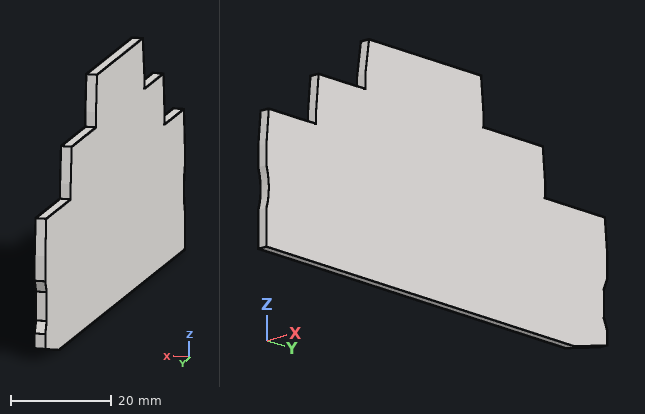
import cadquery as cq

thickness = 2.2
length = 102.2
height = 50.3
half_length = length / 2

step_height = 10.6
upper_shelf_z = height - step_height
lower_shelf_z = upper_shelf_z - step_height

upper_tier_back = 14.0
upper_tier_front = 21.5
middle_tier_back = 32.5
middle_tier_front = 36.2

taper_height = 7.6
taper_inset = 0.7
upper_front_taper_inset = 1.1

arch_bottom_z = 8.1
arch_top_z = 17.0
arch_depth = 0.7

notch_bottom_z = 5.5
notch_top_z = 16.4
notch_depth = 1.0
notch_ramp_height = 2.5

corner_height = 2.5
corner_length = 10.0


def tapered_wall(y, top_z, side, inset=taper_inset):
    """Return the lower and upper ends of a wall's taper; side is +1 for +Y, -1 for -Y."""
    return [(y, top_z - taper_height), (y - side * inset, top_z)]


def back_outline():
    """Return the +Y outline from the sloped lower corner up to the top edge."""
    notch_floor_y = half_length - notch_depth
    return [
        (half_length - corner_length, 0),
        (half_length, corner_height),
        (half_length, notch_bottom_z),
        (notch_floor_y, notch_bottom_z + notch_ramp_height),
        (notch_floor_y, notch_top_z - notch_ramp_height),
        (half_length, notch_top_z),
        *tapered_wall(half_length, lower_shelf_z, 1),
        (middle_tier_back, lower_shelf_z),
        *tapered_wall(middle_tier_back, upper_shelf_z, 1),
        (upper_tier_back, upper_shelf_z),
        *tapered_wall(upper_tier_back, height, 1),
    ]


def front_outline():
    """Return the -Y outline from the top of the arched recess up to the top edge."""
    return [
        (-half_length, arch_top_z),
        *tapered_wall(-half_length, lower_shelf_z, -1),
        (-middle_tier_front, lower_shelf_z),
        *tapered_wall(-middle_tier_front, upper_shelf_z, -1),
        (-upper_tier_front, upper_shelf_z),
        *tapered_wall(-upper_tier_front, height, -1, upper_front_taper_inset),
    ]


arch_middle = (-half_length + arch_depth, (arch_bottom_z + arch_top_z) / 2)

result = (
    cq.Workplane("YZ")
    .polyline([(-half_length, 0), *back_outline(), *reversed(front_outline())])
    .threePointArc(arch_middle, (-half_length, arch_bottom_z))
    .close()
    .extrude(thickness / 2, both=True)
)